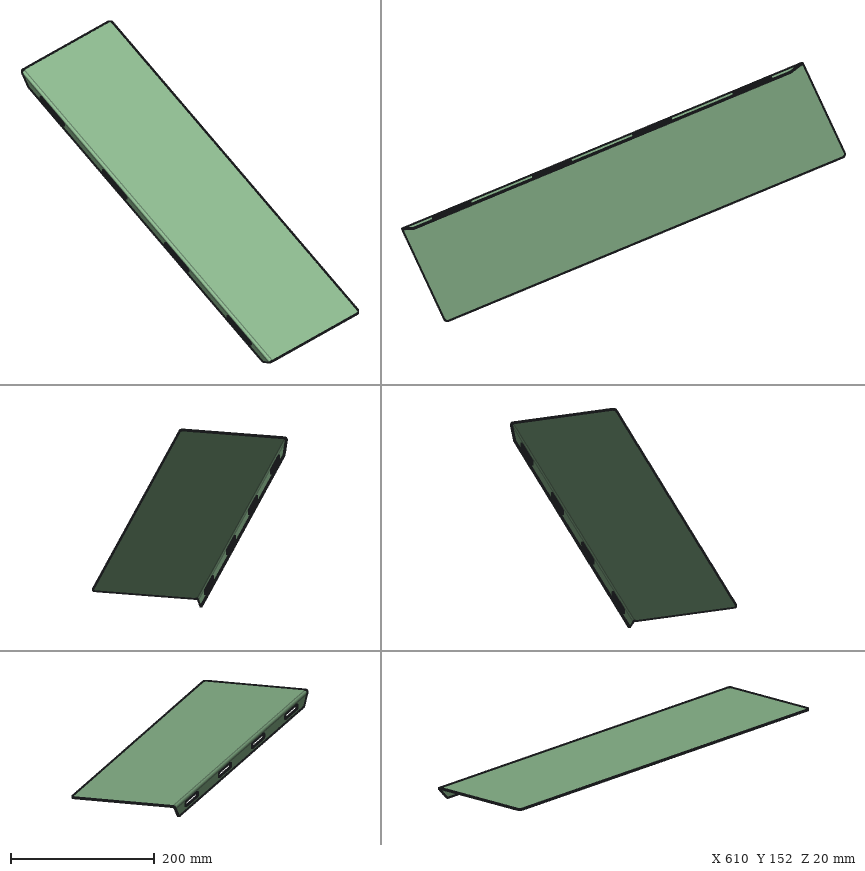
import cadquery as cq

length = 610.0
depth = 152.0
height = 20.0
thickness = 2.0

inner_bend_radius = 2.0
outer_bend_radius = inner_bend_radius + thickness

rear_corner_radius = 5.0

end_step = 1.0
step_top_z = -1.0
taper_start_z = -3.0

slot_count = 4
slot_pitch = length / slot_count
slot_length = 58.0
slot_width = 7.0
slot_center_z = -11.0

front_y = -depth / 2
rear_y = depth / 2


def bent_sheet():
    """L-shaped sheet with a rounded bend, extruded along X and centred on X = 0."""
    profile = (
        cq.Workplane("YZ")
        .moveTo(rear_y, 0)
        .lineTo(front_y + outer_bend_radius, 0)
        .radiusArc((front_y, -outer_bend_radius), -outer_bend_radius)
        .lineTo(front_y, -height)
        .lineTo(front_y + thickness, -height)
        .lineTo(front_y + thickness, -outer_bend_radius)
        .radiusArc((front_y + outer_bend_radius, -thickness), inner_bend_radius)
        .lineTo(rear_y, -thickness)
        .close()
    )
    return profile.extrude(length / 2, both=True)


def flange_end_cut(side):
    """Step and 45 degree taper removed from one flange end; side is -1 or +1 along X."""
    plate_end_x = side * length / 2
    stepped_x = plate_end_x - side * end_step
    taper = height + taper_start_z
    return (
        cq.Workplane("XZ", origin=(0, front_y, 0))
        .moveTo(plate_end_x, step_top_z)
        .lineTo(stepped_x, step_top_z)
        .lineTo(stepped_x, taper_start_z)
        .lineTo(stepped_x - side * taper, -height)
        .lineTo(plate_end_x, -height)
        .close()
        .extrude(-outer_bend_radius)
    )


def flange_slots():
    """Round-ended slots spaced evenly along the flange."""
    first_x = -slot_pitch * (slot_count - 1) / 2
    centers = [(first_x + i * slot_pitch, slot_center_z) for i in range(slot_count)]
    return (
        cq.Workplane("XZ", origin=(0, front_y, 0))
        .pushPoints(centers)
        .slot2D(slot_length, slot_width)
        .extrude(-thickness)
    )


result = bent_sheet().faces(">Y").edges("|Z").fillet(rear_corner_radius)
for end_side in (-1, 1):
    result = result.cut(flange_end_cut(end_side))
result = result.cut(flange_slots())